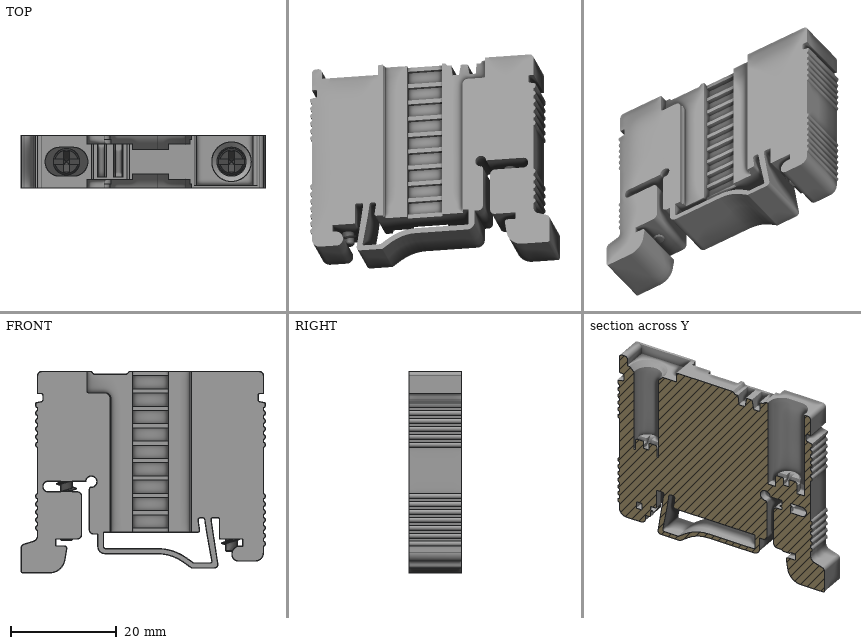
import cadquery as cq
import math

THICKNESS = 10.0
TOP = 38.2
LEFT = 3.1
RIGHT = 45.95
BASE = 7.7
MID_Y = THICKNESS / 2
TOP_CORNER_RADIUS = 0.8

LEG_BOTTOM = 6.42
LEG_TOP = 15.41
LEG_RIGHT = 11.49
LEG_RADIUS = 0.9
SLOT_LEFT = 4.17
SLOT_TOP = 17.37
COLUMN_LEFT = 12.9
COLUMN_BOTTOM = 7.35
KEYHOLE_X = 13.3
KEYHOLE_Z = 17.3
KEYHOLE_RADIUS = 1.05
SLOT_END_RADIUS = 0.9
SHOULDER_X = 13.6
SHOULDER_Z = 16.4
SHOULDER_RADIUS = 0.65

LEFT_HOOK_TOP = 5.14
LEFT_HOOK_NECK = 6.6
LEFT_HOOK_TIP = 8.75
LEFT_HOOK_TOE = 7.9
LEFT_HOOK_SHOULDER = 5.3
LEFT_HOOK_ROOT = 6.25
LEFT_HOOK_TOE_RADIUS = 3.0
LEFT_HOOK_TIP_RADIUS = 0.5
LEFT_HOOK_ROOT_RADIUS = 1.1
LEFT_HOOK_SHOULDER_RADIUS = 0.8
LEFT_HOOK_HEEL_RADIUS = 0.4

RIGHT_LEG_LEFT = 37.6
RIGHT_HOOK_TOP = 5.1
RIGHT_HOOK_NECK = 42.0
RIGHT_HOOK_TIP = 39.96
RIGHT_HOOK_BOTTOM = 2.25
RIGHT_LEG_RADIUS = 0.2
RIGHT_HOOK_TIP_RADIUS = 1.5
RIGHT_HOOK_TOE_RADIUS = 1.2
RIGHT_HOOK_HEEL_RADIUS = 1.6

SPRING_LEFT = 14.52
SPRING_WALL = 1.14
SPRING_FLOOR_TOP = 4.64
SPRING_FLOOR_BOTTOM = 3.64
SPRING_TOE_TOP = 1.9
SPRING_TOE_BOTTOM = 0.93
SPRING_BEND_START = 25.85
SPRING_BEND_ANGLE = math.radians(35)
SPRING_BEND_RADIUS = 8.3
SPRING_HEEL_RADIUS = 1.4
SPRING_TOE_RADIUS = 0.7
SPRING_INNER_RADIUS = 0.3
ARM_SLOT_TOP = 10.45
ARM_RIGHT_TOP = 35.98
ARM_RIGHT_BOTTOM = 37.42
ARM_LEFT_TOP = 34.75
ARM_LEFT_BOTTOM = 36.2
ARM_LEAN = 0.4
ARM_SLOT_RADIUS = 0.4
ARM_OUTER_SLOT_RADIUS = 0.3
WEB_CORNER = 33.9

RIDGE_RADIUS = 0.5
RIDGE_HEIGHT = 0.35
RIDGE_PITCH = 1.5
UPPER_RIDGE_TOP = 31.8
LOWER_RIDGE_TOP = 14.55
UPPER_RIDGES = 6
LEFT_LOWER_RIDGES = 5
RIGHT_LOWER_RIDGES = 7
NOTCH_DEPTH = 1.0
NOTCH_TOP = 34.0
NOTCH_BOTTOM = 32.55
NOTCH_RADIUS = 0.25
LIP_BOTTOM = UPPER_RIDGE_TOP
LIP_OUTER_TOP = 32.25

RECESS_DEPTH = 1.65
RECESS_LIP_DEPTH = 0.8
RECESS_LIP = 0.2
RECESS_LEFT = 12.45
RECESS_LEDGE = 34.15
RECESS_CORNER_RADIUS = 0.4
LEDGE_RADIUS = 1.0
RECESS_INNER_LEFT = 16.84
RECESS_RIGHT = 32.25
LADDER_LEFT = 21.15
LADDER_RIGHT = 27.9
LADDER_DEPTH = 3.55
RUNG_FRONT = 2.65
RUNG_HEIGHT = 0.8
RUNG_COUNT = 10

DIP_DEPTH = 0.5
DIP_LEFT = 13.3
DIP_RIGHT = 20.5
DIP_SLOPE = 0.45
LABEL_SLOTS = ((14.47, 16.2, 14.6, 15.82), (17.5, 19.35, 17.85, 19.1))
LABEL_SLOT_DEPTH = 2.0
LABEL_SLOT_FRONT = 2.15

TRAY_LEFT = 33.2
TRAY_RIGHT = 44.0
TRAY_DEPTH = 2.0
TRAY_RIM = 0.5
TRAY_LEFT_RADIUS = 0.35
TRAY_RIGHT_RADIUS = 0.75
TRAY_CLEARANCE = 1.0

LEFT_SCREW_X = 8.6
RIGHT_SCREW_X = 39.88
LEFT_SCREW_TIP = 6.14
RIGHT_SCREW_TIP = LEFT_SCREW_TIP - 2.11
BORE_DIAMETER = 5.5
BORE_SLOT_LENGTH = 8.1
FUNNEL_DIAMETER = 7.5
FUNNEL_DEPTH = 1.0
SEAT_HEIGHT = 14.0
HEAD_DIAMETER = 5.0
HEAD_HEIGHT = 2.5
HEAD_CHAMFER = 0.3
DRIVE_WIDTH = 1.1
DRIVE_LENGTH = 3.9
DRIVE_SLOT_DEPTH = 0.8
DRIVE_DEPTH = 1.6
DRIVE_POINT_DEPTH = 0.4
DRIVE_POINT_TAPER = 50.0
SHANK_RADIUS = 1.12
TIP_CHAMFER = 0.2
THREAD_RADIUS = 1.9
THREAD_PITCH = 1.83
THREAD_START = 0.71
THREAD_TURNS = 6
THREAD_ROOT_HALF = 0.25
THREAD_OVERLAP = 0.1


def unit(start, end):
    """Unit vector from start to end and the distance between them."""
    length = math.dist(start, end)
    return (end[0] - start[0]) / length, (end[1] - start[1]) / length, length


def rounded_prism(corners, y_start=0.0, y_end=THICKNESS):
    """Extrude along Y an XZ polygon of (x, z) or (x, z, radius) corners."""
    stations = []
    for index, corner in enumerate(corners):
        here = corner[:2]
        if len(corner) == 2:
            stations.append((here, None, None))
            continue
        radius = corner[2]
        ax, az, _ = unit(here, corners[index - 1][:2])
        bx, bz, _ = unit(here, corners[(index + 1) % len(corners)][:2])
        half = math.acos(ax * bx + az * bz) / 2
        setback = radius / math.tan(half)
        bow = radius / math.sin(half) - radius
        mx, mz, _ = unit((0, 0), (ax + bx, az + bz))
        enter = (here[0] + ax * setback, here[1] + az * setback)
        middle = (here[0] + mx * bow, here[1] + mz * bow)
        leave = (here[0] + bx * setback, here[1] + bz * setback)
        stations.append((enter, middle, leave))

    sketch = cq.Workplane("XZ", origin=(0, y_start, 0)).moveTo(*stations[0][0])
    for index, (enter, middle, leave) in enumerate(stations):
        if index > 0:
            sketch = sketch.lineTo(*enter)
        if middle is not None:
            sketch = sketch.threePointArc(middle, leave)
    return sketch.close().extrude(y_start - y_end)


def block(x_range, y_range, z_range):
    """Axis-aligned box from three (low, high) ranges."""
    lows, highs = zip(x_range, y_range, z_range)
    sizes = [high - low for low, high in zip(lows, highs)]
    return cq.Workplane("XY").box(*sizes, centered=False).translate(lows)


def rod(x, z, radius):
    """Cylinder running through the whole thickness."""
    return cq.Workplane("XZ").center(x, z).circle(radius).extrude(-THICKNESS)


def upright(x, z_low, z_high, radius):
    """Vertical cylinder on the middle plane of the housing."""
    return cq.Workplane("XY", origin=(x, MID_Y, z_low)).circle(radius).extrude(z_high - z_low)


def on_both_sides(cutter):
    """Copy a front-side tool onto the back side."""
    return cutter.union(cutter.mirror("XZ", (0, MID_Y, 0)))


def make_housing():
    """Main block with the left leg, the right hook and the slots around the spring arm."""
    return rounded_prism([
        (LEFT, LEG_BOTTOM),
        (LEG_RIGHT, LEG_BOTTOM, LEG_RADIUS),
        (LEG_RIGHT, LEG_TOP, LEG_RADIUS),
        (SLOT_LEFT, LEG_TOP, SLOT_END_RADIUS),
        (SLOT_LEFT, SLOT_TOP, SLOT_END_RADIUS),
        (SHOULDER_X, SLOT_TOP),
        (SHOULDER_X, SHOULDER_Z),
        (COLUMN_LEFT, SHOULDER_Z, SHOULDER_RADIUS),
        (COLUMN_LEFT, COLUMN_BOTTOM, LEG_RADIUS),
        (SPRING_LEFT + SPRING_WALL, COLUMN_BOTTOM),
        (SPRING_LEFT + SPRING_WALL, BASE),
        (WEB_CORNER, BASE, ARM_SLOT_RADIUS),
        (WEB_CORNER - ARM_LEAN, ARM_SLOT_TOP, ARM_SLOT_RADIUS),
        (ARM_LEFT_TOP, ARM_SLOT_TOP, ARM_SLOT_RADIUS),
        (ARM_LEFT_TOP + ARM_LEAN, BASE),
        (ARM_RIGHT_TOP + ARM_LEAN, BASE),
        (ARM_RIGHT_TOP, ARM_SLOT_TOP, ARM_OUTER_SLOT_RADIUS),
        (RIGHT_LEG_LEFT, ARM_SLOT_TOP, ARM_OUTER_SLOT_RADIUS),
        (RIGHT_LEG_LEFT, LEG_BOTTOM, RIGHT_LEG_RADIUS),
        (RIGHT_HOOK_NECK, LEG_BOTTOM),
        (RIGHT_HOOK_NECK, RIGHT_HOOK_TOP),
        (RIGHT_HOOK_TIP, RIGHT_HOOK_TOP, RIGHT_HOOK_TIP_RADIUS),
        (RIGHT_HOOK_TIP, RIGHT_HOOK_BOTTOM, RIGHT_HOOK_TOE_RADIUS),
        (RIGHT, RIGHT_HOOK_BOTTOM, RIGHT_HOOK_HEEL_RADIUS),
        (RIGHT, TOP, TOP_CORNER_RADIUS),
        (LEFT, TOP, TOP_CORNER_RADIUS),
    ])


def make_left_hook():
    """Rail hook below the left leg."""
    return rounded_prism([
        (0, 0, LEFT_HOOK_HEEL_RADIUS),
        (LEFT_HOOK_TOE, 0, LEFT_HOOK_TOE_RADIUS),
        (LEFT_HOOK_TIP, LEFT_HOOK_TOP, LEFT_HOOK_TIP_RADIUS),
        (LEFT_HOOK_NECK, LEFT_HOOK_TOP),
        (LEFT_HOOK_NECK, BASE),
        (LEFT, BASE),
        (LEFT, LEFT_HOOK_ROOT, LEFT_HOOK_ROOT_RADIUS),
        (0, LEFT_HOOK_SHOULDER, LEFT_HOOK_SHOULDER_RADIUS),
    ])


def make_spring():
    """Bent strip from the column down, across and back up to the web."""
    upper_radius = SPRING_BEND_RADIUS + SPRING_FLOOR_TOP - SPRING_FLOOR_BOTTOM
    slope = math.tan(SPRING_BEND_ANGLE)
    lower_bend_x = SPRING_BEND_START + SPRING_BEND_RADIUS * math.tan(SPRING_BEND_ANGLE / 2)
    upper_bend_x = SPRING_BEND_START + upper_radius * math.tan(SPRING_BEND_ANGLE / 2)
    lower_toe_x = lower_bend_x + (SPRING_FLOOR_BOTTOM - SPRING_TOE_BOTTOM) / slope
    upper_toe_x = upper_bend_x + (SPRING_FLOOR_TOP - SPRING_TOE_TOP) / slope
    return rounded_prism([
        (SPRING_LEFT, COLUMN_BOTTOM),
        (SPRING_LEFT, SPRING_FLOOR_BOTTOM, SPRING_HEEL_RADIUS),
        (lower_bend_x, SPRING_FLOOR_BOTTOM, SPRING_BEND_RADIUS),
        (lower_toe_x, SPRING_TOE_BOTTOM, SPRING_INNER_RADIUS),
        (ARM_RIGHT_BOTTOM, SPRING_TOE_BOTTOM, SPRING_TOE_RADIUS),
        (ARM_RIGHT_TOP + ARM_LEAN, BASE),
        (ARM_LEFT_TOP + ARM_LEAN, BASE),
        (ARM_LEFT_BOTTOM, SPRING_TOE_TOP, SPRING_INNER_RADIUS),
        (upper_toe_x, SPRING_TOE_TOP),
        (upper_bend_x, SPRING_FLOOR_TOP, upper_radius),
        (SPRING_LEFT + SPRING_WALL, SPRING_FLOOR_TOP, SPRING_INNER_RADIUS),
        (SPRING_LEFT + SPRING_WALL, COLUMN_BOTTOM),
    ])


def add_grips(body):
    """Rows of round grip ridges below a finger notch on both end faces."""
    for face_x, inward, lower_count in ((LEFT, 1, LEFT_LOWER_RIDGES), (RIGHT, -1, RIGHT_LOWER_RIDGES)):
        axis_x = face_x + inward * (RIDGE_RADIUS - RIDGE_HEIGHT)
        for top_z, count in ((UPPER_RIDGE_TOP, UPPER_RIDGES), (LOWER_RIDGE_TOP, lower_count)):
            for index in range(count):
                body = body.union(rod(axis_x, top_z - index * RIDGE_PITCH, RIDGE_RADIUS))
        notch_x = face_x + inward * NOTCH_DEPTH
        outer_x = face_x - inward * RIDGE_HEIGHT
        lip = [
            (notch_x, LIP_BOTTOM),
            (outer_x, LIP_BOTTOM),
            (outer_x, LIP_OUTER_TOP),
            (notch_x, NOTCH_BOTTOM),
        ]
        notch = [
            (outer_x, NOTCH_TOP),
            (notch_x, NOTCH_TOP, NOTCH_RADIUS),
            (notch_x, NOTCH_BOTTOM, NOTCH_RADIUS),
            (outer_x, LIP_OUTER_TOP),
        ]
        body = body.union(rounded_prism(lip)).cut(rounded_prism(notch))
    return body


def recess_layer(inset, depth):
    """One depth layer of the recess, its upright walls moved inward by the inset."""
    inner_left = RECESS_INNER_LEFT + inset
    right = RECESS_RIGHT - inset
    outline = [
        (RECESS_LEFT, TOP),
        (RECESS_LEFT, RECESS_LEDGE, RECESS_CORNER_RADIUS),
        (inner_left, RECESS_LEDGE, LEDGE_RADIUS + inset),
        (inner_left, BASE),
        (right, BASE),
        (right, TOP),
    ]
    return rounded_prism(outline, 0, depth)


def cut_side_recesses(body):
    """Stepped recess and rung ladder in the front and back faces."""
    recess = recess_layer(0, RECESS_LIP_DEPTH).union(recess_layer(RECESS_LIP, RECESS_DEPTH))
    recess = recess.union(block((LADDER_LEFT, LADDER_RIGHT), (0, LADDER_DEPTH), (BASE, TOP)))
    pitch = (TOP - BASE - RUNG_HEIGHT) / (RUNG_COUNT - 1)
    for index in range(RUNG_COUNT):
        low = BASE + index * pitch
        rung = block((LADDER_LEFT, LADDER_RIGHT), (RUNG_FRONT, LADDER_DEPTH), (low, low + RUNG_HEIGHT))
        recess = recess.cut(rung)
    return body.cut(on_both_sides(recess))


def cut_top_dip(body):
    """Shallow dip in the top face with two tapered slots open at the back."""
    floor = TOP - DIP_DEPTH
    slot_floor = floor - LABEL_SLOT_DEPTH
    body = body.cut(rounded_prism([
        (DIP_LEFT, TOP),
        (DIP_LEFT + DIP_SLOPE, floor),
        (DIP_RIGHT - DIP_SLOPE, floor),
        (DIP_RIGHT, TOP),
    ]))
    for mouth_left, mouth_right, floor_left, floor_right in LABEL_SLOTS:
        outline = [
            (mouth_left, floor),
            (floor_left, slot_floor),
            (floor_right, slot_floor),
            (mouth_right, floor),
        ]
        body = body.cut(rounded_prism(outline, LABEL_SLOT_FRONT))
    return body


def cut_right_tray(body):
    """Sunken tray, open at the back, with rounded top edges left and right."""
    floor = TOP - TRAY_DEPTH
    above = TOP + TRAY_CLEARANCE
    outline = [
        (TRAY_LEFT - TRAY_CLEARANCE, above),
        (TRAY_LEFT - TRAY_CLEARANCE, TOP),
        (TRAY_LEFT, TOP, TRAY_LEFT_RADIUS),
        (TRAY_LEFT, floor),
        (TRAY_RIGHT, floor),
        (TRAY_RIGHT, TOP, TRAY_RIGHT_RADIUS),
        (TRAY_RIGHT + TRAY_CLEARANCE, TOP),
        (TRAY_RIGHT + TRAY_CLEARANCE, above),
    ]
    return body.cut(rounded_prism(outline, TRAY_RIM))


def make_thread():
    """Right-handed V thread rising along Z, sunk slightly into the shank."""
    root = SHANK_RADIUS - THREAD_OVERLAP
    path = cq.Wire.makeHelix(THREAD_PITCH, THREAD_PITCH * THREAD_TURNS, root)
    profile = [(root, -THREAD_ROOT_HALF), (THREAD_RADIUS, 0), (root, THREAD_ROOT_HALF)]
    return cq.Workplane("XZ").polyline(profile).close().sweep(cq.Workplane(path), isFrenet=True)


def make_drive(x, top):
    """Screwdriver recess: a straight slot, a tapered cross slot and a pyramid point."""
    half_width = DRIVE_WIDTH / 2
    slot = block(
        (x - HEAD_DIAMETER / 2, x + HEAD_DIAMETER / 2),
        (MID_Y - half_width, MID_Y + half_width),
        (top - DRIVE_SLOT_DEPTH, top),
    )
    taper = [
        (-DRIVE_LENGTH / 2, 0),
        (-half_width, -DRIVE_DEPTH),
        (half_width, -DRIVE_DEPTH),
        (DRIVE_LENGTH / 2, 0),
    ]
    cross = (
        cq.Workplane("YZ", origin=(x, MID_Y, top))
        .polyline(taper)
        .close()
        .extrude(half_width, both=True)
    )
    point = (
        cq.Workplane("XY", origin=(x, MID_Y, top - DRIVE_DEPTH))
        .rect(DRIVE_WIDTH, DRIVE_WIDTH)
        .extrude(-DRIVE_POINT_DEPTH, taper=DRIVE_POINT_TAPER)
    )
    return slot.union(cross).union(point)


def make_screw(x, tip):
    """Threaded clamping screw with its tip at the given height."""
    seat = tip + SEAT_HEIGHT
    head_top = seat + HEAD_HEIGHT
    shank = upright(x, tip, seat, SHANK_RADIUS).faces("<Z").chamfer(TIP_CHAMFER)
    head = upright(x, seat, head_top, HEAD_DIAMETER / 2).faces(">Z").edges().chamfer(HEAD_CHAMFER)
    head = head.cut(make_drive(x, head_top))
    thread = make_thread().translate((x, MID_Y, tip + THREAD_START))
    return shank.union(head).union(thread)


def add_screws(body):
    """Access bores with a screw seated at the bottom of each."""
    left_seat = LEFT_SCREW_TIP + SEAT_HEIGHT
    left_bore = (
        cq.Workplane("XY", origin=(LEFT_SCREW_X, MID_Y, left_seat))
        .slot2D(BORE_SLOT_LENGTH, BORE_DIAMETER)
        .extrude(TOP - left_seat)
    )
    right_floor = TOP - TRAY_DEPTH
    right_bore = upright(RIGHT_SCREW_X, RIGHT_SCREW_TIP + SEAT_HEIGHT, right_floor, BORE_DIAMETER / 2)
    funnel = (
        cq.Workplane("XY", origin=(RIGHT_SCREW_X, MID_Y, right_floor))
        .circle(FUNNEL_DIAMETER / 2)
        .workplane(offset=-FUNNEL_DEPTH)
        .circle(BORE_DIAMETER / 2)
        .loft()
    )
    body = body.cut(left_bore).cut(right_bore).cut(funnel)
    body = body.union(make_screw(LEFT_SCREW_X, LEFT_SCREW_TIP))
    return body.union(make_screw(RIGHT_SCREW_X, RIGHT_SCREW_TIP))


body = make_housing().cut(rod(KEYHOLE_X, KEYHOLE_Z, KEYHOLE_RADIUS))
body = body.union(make_left_hook()).union(make_spring())
body = add_grips(body)
body = cut_side_recesses(body)
body = cut_top_dip(body)
body = cut_right_tray(body)
result = add_screws(body)